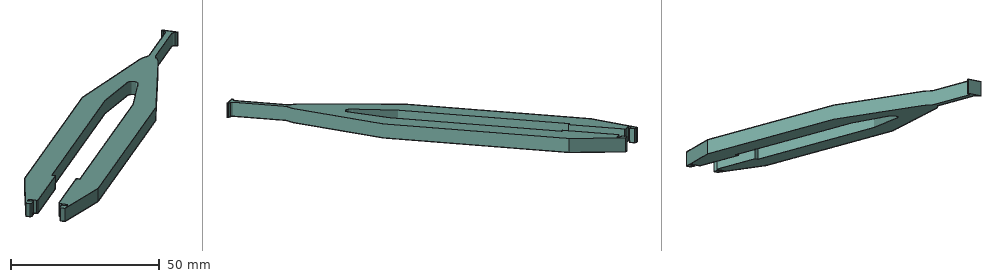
import cadquery as cq
import math

length = 141.0
width = 26.0
thickness = 5.0
end_y = length / 2
half_width = width / 2

head_half_width = 2.8
head_rim = 0.4
head_flare = 0.4
head_fillet = 0.8
stem_half_width = 1.1
stem_length = 19.7
stem_base_y = end_y - stem_length

shoulder_half_width = 3.1
shoulder_y = stem_base_y - 3.7
base_fillet_half_width = 1.7
base_fillet_y = stem_base_y - 1.4
spread_end_y = 12.8

slot_half_width = 5.0
slot_top_y = 29.7
slot_round_half_width = 2.0
slot_round_y = slot_top_y - slot_round_half_width

jaw_half_gap = 3.7
jaw_start_y = -47.4
taper_start_y = -52.5
jaw_end_y = -67.4
corner_chamfer = 0.4

tip_inner_x = 5.0
tip_outer_x = 6.9
notch_width = 1.0
notch_floor_x = 6.9
tip_y = jaw_end_y - notch_width


def right_half_profile():
    """Half outline, from the head down the outside and back up the inside."""
    head_underside_y = end_y - head_rim - head_flare
    fillet_inset = head_fillet * (1 - math.sqrt(0.5))
    arc_offset = slot_round_half_width * math.sqrt(0.5)
    outside = (
        cq.Workplane("XY")
        .moveTo(0, end_y)
        .lineTo(head_half_width, end_y)
        .lineTo(head_half_width, end_y - head_rim)
        .lineTo(stem_half_width + head_fillet, head_underside_y)
        .threePointArc(
            (stem_half_width + fillet_inset, head_underside_y - fillet_inset),
            (stem_half_width, head_underside_y - head_fillet),
        )
        .lineTo(stem_half_width, stem_base_y)
        .tangentArcPoint((base_fillet_half_width, base_fillet_y), relative=False)
        .tangentArcPoint((shoulder_half_width, shoulder_y), relative=False)
        .lineTo(half_width, spread_end_y)
        .lineTo(half_width, taper_start_y)
        .lineTo(tip_outer_x, -end_y)
    )
    hooked_tip = (
        outside
        .lineTo(tip_inner_x + corner_chamfer, -end_y)
        .lineTo(tip_inner_x, -end_y + corner_chamfer)
        .lineTo(tip_inner_x, tip_y)
        .lineTo(notch_floor_x, tip_y)
        .lineTo(notch_floor_x, jaw_end_y)
    )
    return (
        hooked_tip
        .lineTo(jaw_half_gap + corner_chamfer, jaw_end_y)
        .lineTo(jaw_half_gap, jaw_end_y + corner_chamfer)
        .lineTo(jaw_half_gap, jaw_start_y)
        .lineTo(slot_half_width, jaw_start_y)
        .lineTo(slot_half_width, spread_end_y)
        .lineTo(slot_round_half_width, slot_round_y)
        .threePointArc((arc_offset, slot_round_y + arc_offset), (0, slot_top_y))
        .close()
    )


right_half = right_half_profile().extrude(thickness / 2, both=True)
result = right_half.union(right_half.mirror("YZ")).clean()